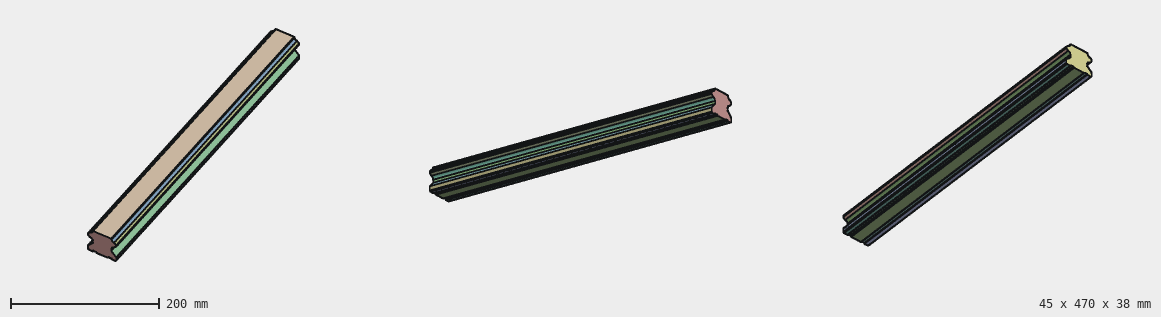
import cadquery as cq

length = 470.0
width = 45.0
height = 38.0

base_chamfer = 1.5
base_side_top = 7.5
waist_half_width = 14.5

top_half_width = 14.5
top_chamfer = 0.85
nose_bottom = 27.3
nose_top = 29.5
flank_inset = 3.5

lower_groove_bottom = 19.7
lower_groove_ledge = 0.5
lower_groove_radius = 4.0
upper_groove_radius = 3.8

relief_inner = 8.5
relief_outer = 14.5
relief_depth = 1.5
relief_slope_width = 1.65

half_width = width / 2
waist_bottom = base_side_top + half_width - waist_half_width
flank_inner = half_width - flank_inset
lower_flank_end = nose_bottom - flank_inset
upper_flank_end = nose_top + flank_inset


def half_rail():
    """Half of the rail on the +X side of its middle plane."""
    return (
        cq.Workplane("XZ")
        .moveTo(0, 0)
        .lineTo(relief_inner, 0)
        .lineTo(relief_inner + relief_slope_width, relief_depth)
        .lineTo(relief_outer, relief_depth)
        .lineTo(relief_outer, 0)
        .lineTo(half_width - base_chamfer, 0)
        .lineTo(half_width, base_chamfer)
        .lineTo(half_width, base_side_top)
        .lineTo(waist_half_width, waist_bottom)
        .lineTo(waist_half_width, lower_groove_bottom)
        .lineTo(waist_half_width + lower_groove_ledge, lower_groove_bottom)
        .radiusArc((flank_inner, lower_flank_end), lower_groove_radius)
        .lineTo(half_width, nose_bottom)
        .lineTo(half_width, nose_top)
        .lineTo(flank_inner, upper_flank_end)
        .radiusArc((top_half_width + top_chamfer, height - top_chamfer), upper_groove_radius)
        .lineTo(top_half_width, height)
        .lineTo(0, height)
        .close()
        .extrude(length / 2, both=True)
    )


right_half = half_rail()
result = right_half.union(right_half.mirror("YZ"))